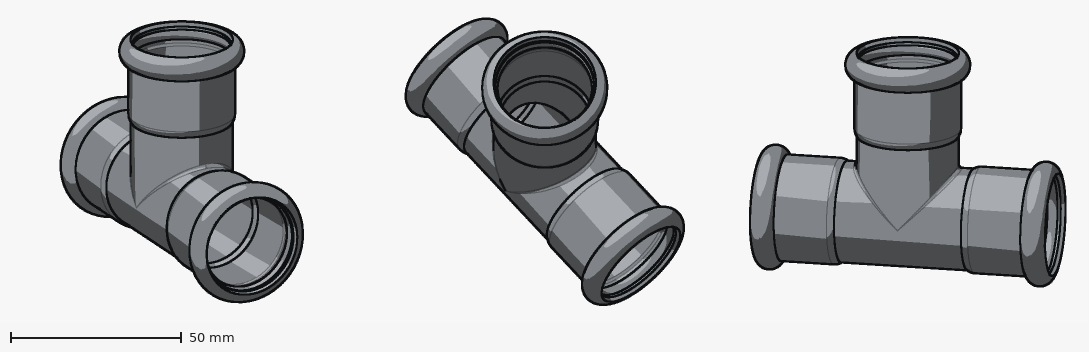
import cadquery as cq
import math

run_half_length = 44.1
branch_length = 50.0

wall = 1.5
tube_radius = 15.0
tube_bore_radius = tube_radius - wall
socket_radius = 15.7
socket_bore_radius = socket_radius - wall

socket_depth = 23.0
step_end_depth = 25.1
step_bulge = 0.2

bead_radius = 18.35
bead_round = 3.7
bead_center_radius = bead_radius - bead_round
mouth_radius = 15.0

lip_diameter = 28.8
lip_radius = lip_diameter / 2
lip_start_depth = 1.3
seal_start_depth = 2.3
seal_end_depth = 5.3
seal_diameter = 27.6
seal_radius = seal_diameter / 2
seat_end_depth = 6.4
seat_taper_depth = 7.3

crotch_fillet = 1.0


def bead_height_at(radius):
    """Distance along the leg from the bead crest to the bead surface at a radius."""
    return math.sqrt(bead_round ** 2 - (radius - bead_center_radius) ** 2)


def leg_outside(length):
    """Outer solid of one leg, from the origin up to its open end at +Z."""
    crest_depth = bead_height_at(mouth_radius)
    bead_back_depth = crest_depth + bead_height_at(socket_radius)
    step_middle = (
        (tube_radius + socket_radius) / 2 + step_bulge,
        length - (socket_depth + step_end_depth) / 2,
    )
    return (
        cq.Workplane("XZ")
        .moveTo(0, 0)
        .lineTo(tube_radius, 0)
        .lineTo(tube_radius, length - step_end_depth)
        .threePointArc(step_middle, (socket_radius, length - socket_depth))
        .lineTo(socket_radius, length - bead_back_depth)
        .threePointArc((bead_radius, length - crest_depth), (mouth_radius, length))
        .lineTo(0, length)
        .close()
        .revolve(360, (0, 0), (0, 1))
    )


def leg_inside(length):
    """Hollow of one leg, with the lead-in, seal ring, socket and tube bore."""
    seal_middle = (seal_radius, length - (seal_start_depth + seal_end_depth) / 2)
    return (
        cq.Workplane("XZ")
        .moveTo(0, 0)
        .lineTo(tube_bore_radius, 0)
        .lineTo(tube_bore_radius, length - step_end_depth)
        .lineTo(socket_bore_radius, length - socket_depth)
        .lineTo(socket_bore_radius, length - seat_taper_depth)
        .lineTo(lip_radius, length - seat_end_depth)
        .lineTo(lip_radius, length - seal_end_depth)
        .threePointArc(seal_middle, (lip_radius, length - seal_start_depth))
        .lineTo(lip_radius, length - lip_start_depth)
        .lineTo(mouth_radius, length)
        .lineTo(0, length)
        .close()
        .revolve(360, (0, 0), (0, 1))
    )


def tee(leg):
    """Join two run legs and one branch leg, all made by the same function."""
    run_leg = leg(run_half_length).rotate((0, 0, 0), (0, 1, 0), 90)
    return run_leg.union(run_leg.mirror("YZ")).union(leg(branch_length))


outside = tee(leg_outside).clean()

box_margin = 0.9
crotch_reach = tube_radius + box_margin
crotch_box = cq.selectors.BoxSelector(
    (-crotch_reach, -crotch_reach, -box_margin),
    (crotch_reach, crotch_reach, crotch_reach),
    boundingbox=True,
)
outside = outside.edges(crotch_box).fillet(crotch_fillet)

result = outside.cut(tee(leg_inside))